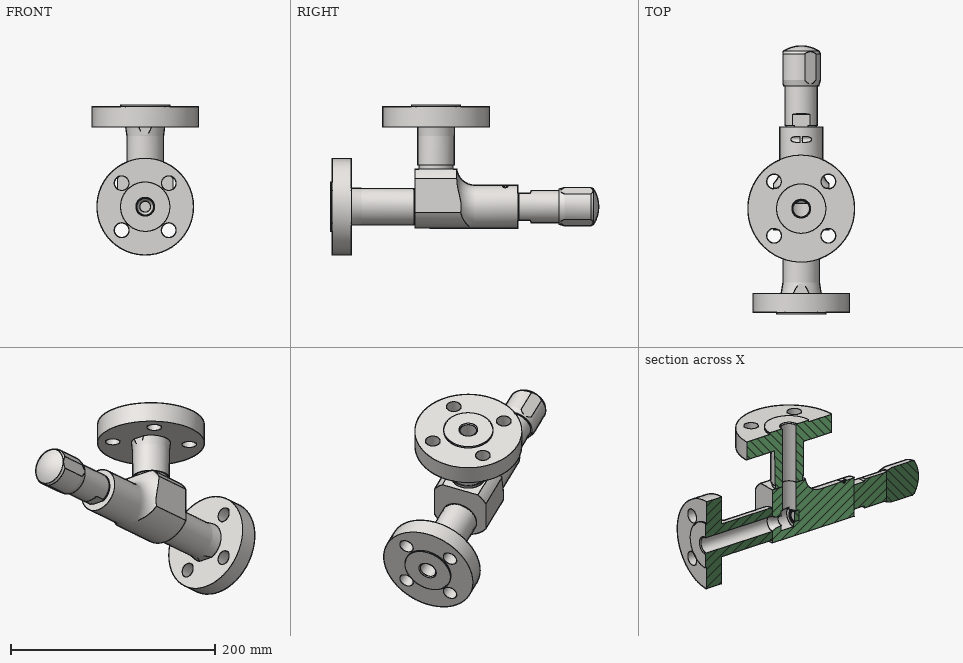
import cadquery as cq
import math


BLOCK_FRONT_Y = -20.8
BLOCK_TOP_Z = 36.8
BLOCK_HALF_WIDTH = 27.4
BLOCK_ROUND_RADIUS = 32.0
BARREL_RADIUS = 42.3 / 2
BARREL_END_Y = 80.2
SHOULDER_RADIUS = 18.0
SHOULDER_START_Y = 38.1
BLOCK_ROUND_Z = BLOCK_ROUND_RADIUS - BARREL_RADIUS

NOTCH_Y = 67.9
NOTCH_Z = 21.5
NOTCH_RADIUS = 6.0 / 2
BRIDGE_HALF_WIDTH = 1.18
WIRE_HOLE_Z = 19.7
WIRE_HOLE_RADIUS = 1.0

BORE_RADIUS = 8.2
BORE_CHAMFER = 1.0
OUTLET_BORE_FLOOR_Z = 5.5
NOZZLE_CONE_END_Y = -17.0
NOZZLE_CONE_RADIUS = 6.0
THROAT_START_Y = -13.2
THROAT_RADIUS = 5.3
CHAMBER_START_Y = -9.5
CHAMBER_RADIUS = 10.5
CHAMBER_END_Y = 5.0
RECESS_RADIUS = 6.8
DISC_FACE_Y = 6.3
DISC_RADIUS = 5.3
DISC_LENGTH = 5.3

PIPE_RADIUS = 36.0 / 2
NECK_RADIUS = 16.8
HUB_FLAT_DISTANCE = 18.1
FACE_RADIUS = 24.2
BOLT_HOLE_RADIUS = 7.0
BOLT_COUNT = 4
FIRST_BOLT_ANGLE = 45

BONNET_RADIUS = 31.8 / 2
BONNET_NECK_RADIUS = 15.0
BONNET_NECK_END_Y = 81.5
BONNET_FLAT_DISTANCE = 13.5
BONNET_FLAT_END_Y = 92.3
FLAT_RUNOUT_LENGTH = 1.0
CAP_START_Y = 120.5
CAP_CONE_END_Y = 126.0
CAP_EDGE_Y = 151.8
CAP_DOME_Y = 154.5
CAP_TOP_Y = 159.6
CAP_RADIUS = 38.0 / 2
CAP_MOUTH_RADIUS = 17.4
CAP_DOME_RADIUS = 17.5
CAP_FLAT_DISTANCE = 18.0
CAP_FLAT_ANGLES = (60, 180, 300)

MARGIN = 2.5
REACH = 263.0


def turned_about_y(profile):
    """Revolve a closed (radius, y) profile about the Y axis."""
    return profile.close().revolve(360, (0, 0, 0), (0, 1, 0))


def y_cylinder(radius, start, end):
    return cq.Workplane("XZ", origin=(0, start, 0)).circle(radius).extrude(start - end)


def housing_block():
    """Block along Y: a large round cut flat on both sides and on top."""
    length = SHOULDER_START_Y - BLOCK_FRONT_Y
    height = BLOCK_TOP_Z + BARREL_RADIUS
    middle_y = BLOCK_FRONT_Y + length / 2
    block = cq.Workplane("XY").box(2 * BLOCK_HALF_WIDTH, length, height)
    block = block.translate((0, middle_y, BLOCK_TOP_Z - height / 2))
    rounding = y_cylinder(BLOCK_ROUND_RADIUS, BLOCK_FRONT_Y, SHOULDER_START_Y)
    return block.intersect(rounding.translate((0, 0, BLOCK_ROUND_Z)))


def shoulder_envelope():
    """Turned envelope whose concave shoulder shapes the back of the block."""
    outer_radius = BARREL_RADIUS + SHOULDER_RADIUS
    shoulder_top_y = SHOULDER_START_Y - SHOULDER_RADIUS
    arc_middle = (
        outer_radius - SHOULDER_RADIUS * math.sin(math.pi / 4),
        SHOULDER_START_Y - SHOULDER_RADIUS * math.cos(math.pi / 4),
    )
    return turned_about_y(
        cq.Workplane("XY")
        .moveTo(0, BLOCK_FRONT_Y)
        .lineTo(2 * BLOCK_ROUND_RADIUS, BLOCK_FRONT_Y)
        .lineTo(2 * BLOCK_ROUND_RADIUS, shoulder_top_y)
        .lineTo(outer_radius, shoulder_top_y)
        .threePointArc(arc_middle, (BARREL_RADIUS, SHOULDER_START_Y))
        .lineTo(0, SHOULDER_START_Y)
    )


def seal_notch():
    """Cross notch on both sides of the bridge, plus the wire hole through the bridge."""
    def cross_rod(z, radius, start, length):
        return cq.Workplane("YZ", origin=(start, NOTCH_Y, z)).circle(radius).extrude(length)

    right = cross_rod(NOTCH_Z, NOTCH_RADIUS, BRIDGE_HALF_WIDTH, BARREL_RADIUS)
    left = cross_rod(NOTCH_Z, NOTCH_RADIUS, -BRIDGE_HALF_WIDTH, -BARREL_RADIUS)
    wire = cross_rod(WIRE_HOLE_Z, WIRE_HOLE_RADIUS, -2 * BRIDGE_HALF_WIDTH, 4 * BRIDGE_HALF_WIDTH)
    return right.union(left).union(wire)


def housing_passages():
    """Inlet nozzle, chamber and disc pocket along Y, joined by the outlet bore along Z."""
    inlet = turned_about_y(
        cq.Workplane("XY")
        .moveTo(0, BLOCK_FRONT_Y)
        .lineTo(BORE_RADIUS, BLOCK_FRONT_Y)
        .lineTo(NOZZLE_CONE_RADIUS, NOZZLE_CONE_END_Y)
        .lineTo(THROAT_RADIUS, THROAT_START_Y)
        .lineTo(THROAT_RADIUS, CHAMBER_START_Y)
        .lineTo(CHAMBER_RADIUS, CHAMBER_START_Y)
        .lineTo(CHAMBER_RADIUS, CHAMBER_END_Y)
        .lineTo(RECESS_RADIUS, CHAMBER_END_Y)
        .lineTo(RECESS_RADIUS, DISC_FACE_Y)
        .lineTo(DISC_RADIUS, DISC_FACE_Y)
        .lineTo(DISC_RADIUS, DISC_FACE_Y + DISC_LENGTH)
        .lineTo(0, DISC_FACE_Y + DISC_LENGTH)
    )
    outlet = (
        cq.Workplane("XY", origin=(0, 0, OUTLET_BORE_FLOOR_Z))
        .circle(BORE_RADIUS)
        .extrude(BLOCK_TOP_Z - OUTLET_BORE_FLOOR_Z)
    )
    return inlet.union(outlet)


def make_housing():
    block = housing_block().intersect(shoulder_envelope())
    barrel = y_cylinder(BARREL_RADIUS, 0, BARREL_END_Y)
    return block.union(barrel).cut(seal_notch()).cut(housing_passages())


def make_disc():
    return y_cylinder(DISC_RADIUS, DISC_FACE_Y, DISC_FACE_Y + DISC_LENGTH)


def make_flanged_pipe(base, pipe_start, hub_start, flange_start, flange_end, face_end,
                      hub_radius, flange_radius, bolt_circle_radius):
    """Pipe, conical hub and flange along +Z, with two flats on the hub facing +Y and -Y."""
    profile = (
        cq.Workplane("XZ")
        .moveTo(0, base)
        .lineTo(NECK_RADIUS, base)
        .lineTo(NECK_RADIUS, pipe_start)
        .lineTo(PIPE_RADIUS, pipe_start)
        .lineTo(PIPE_RADIUS, hub_start)
        .lineTo(hub_radius, flange_start)
        .lineTo(0, flange_start)
        .close()
    )
    pipe = profile.revolve(360, (0, 0, 0), (0, 1, 0))
    pipe = pipe.intersect(cq.Workplane("XY").box(REACH, 2 * HUB_FLAT_DISTANCE, REACH))
    flange = (
        cq.Workplane("XY", origin=(0, 0, flange_start))
        .circle(flange_radius)
        .extrude(flange_end - flange_start)
    )
    face = cq.Workplane("XY", origin=(0, 0, flange_end)).circle(FACE_RADIUS).extrude(face_end - flange_end)
    bolt_holes = (
        cq.Workplane("XY", origin=(0, 0, flange_start))
        .polarArray(bolt_circle_radius, FIRST_BOLT_ANGLE, 360, BOLT_COUNT)
        .circle(BOLT_HOLE_RADIUS)
        .extrude(flange_end - flange_start)
    )
    bore = (
        cq.Workplane("XZ")
        .moveTo(0, base)
        .lineTo(BORE_RADIUS, base)
        .lineTo(BORE_RADIUS, face_end - BORE_CHAMFER)
        .lineTo(BORE_RADIUS + BORE_CHAMFER, face_end)
        .lineTo(0, face_end)
        .close()
        .revolve(360, (0, 0, 0), (0, 1, 0))
    )
    return pipe.union(flange).union(face).cut(bolt_holes).cut(bore)


def make_outlet():
    return make_flanged_pipe(
        base=BLOCK_TOP_Z, pipe_start=40.8, hub_start=69.0, flange_start=78.0, flange_end=98.0,
        face_end=100.0, hub_radius=19.2, flange_radius=105.0 / 2, bolt_circle_radius=37.5,
    )


def make_inlet():
    pipe = make_flanged_pipe(
        base=-BLOCK_FRONT_Y, pipe_start=21.8, hub_start=72.9, flange_start=83.0, flange_end=101.8,
        face_end=103.4, hub_radius=19.7, flange_radius=95.0 / 2, bolt_circle_radius=32.5,
    )
    return pipe.rotate((0, 0, 0), (1, 0, 0), 90)


def make_bonnet():
    """Cylinder with a short neck and two wrench flats that run out in a bevel."""
    bonnet = y_cylinder(BONNET_NECK_RADIUS, BARREL_END_Y, BONNET_NECK_END_Y)
    bonnet = bonnet.union(y_cylinder(BONNET_RADIUS, BONNET_NECK_END_Y, CAP_START_Y))
    flat_cut = (
        cq.Workplane("YZ")
        .moveTo(BARREL_END_Y, BONNET_FLAT_DISTANCE)
        .lineTo(BONNET_FLAT_END_Y, BONNET_FLAT_DISTANCE)
        .lineTo(BONNET_FLAT_END_Y + FLAT_RUNOUT_LENGTH, BONNET_RADIUS)
        .lineTo(BONNET_FLAT_END_Y + FLAT_RUNOUT_LENGTH, BONNET_RADIUS + MARGIN)
        .lineTo(BARREL_END_Y, BONNET_RADIUS + MARGIN)
        .close()
        .extrude(BONNET_RADIUS + MARGIN, both=True)
    )
    return bonnet.cut(flat_cut).cut(flat_cut.mirror("XY"))


def make_cap():
    """Domed cap with three flats spaced evenly around it."""
    dome_rise = CAP_TOP_Y - CAP_DOME_Y
    sphere_radius = (CAP_DOME_RADIUS ** 2 + dome_rise ** 2) / (2 * dome_rise)
    half_angle = math.asin(CAP_DOME_RADIUS / sphere_radius) / 2
    dome_middle = (
        sphere_radius * math.sin(half_angle),
        CAP_TOP_Y - sphere_radius * (1 - math.cos(half_angle)),
    )
    cap = turned_about_y(
        cq.Workplane("XY")
        .moveTo(0, CAP_START_Y)
        .lineTo(CAP_MOUTH_RADIUS, CAP_START_Y)
        .lineTo(CAP_RADIUS, CAP_CONE_END_Y)
        .lineTo(CAP_RADIUS, CAP_EDGE_Y)
        .lineTo(CAP_DOME_RADIUS, CAP_DOME_Y)
        .threePointArc(dome_middle, (0, CAP_TOP_Y))
    )
    for angle in CAP_FLAT_ANGLES:
        cutter = cq.Workplane("XY").box(MARGIN, REACH, 2 * CAP_RADIUS)
        cutter = cutter.translate((CAP_FLAT_DISTANCE + MARGIN / 2, CAP_START_Y, 0))
        cap = cap.cut(cutter.rotate((0, 0, 0), (0, 1, 0), -angle))
    return cap


housing = make_housing()
disc = make_disc()
inlet_pipe = make_inlet()
outlet_pipe = make_outlet()
bonnet = make_bonnet()
cap = make_cap()

result = cq.Compound.makeCompound([
    housing.solids().val(),
    disc.solids().val(),
    inlet_pipe.solids().val(),
    outlet_pipe.solids().val(),
    bonnet.solids().val(),
    cap.solids().val(),
])